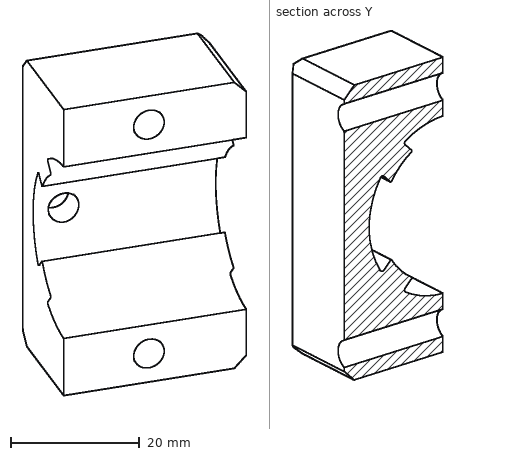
import cadquery as cq
import math

height = 50.0
depth = 30.0
width = 19.5
chamfer = 2.0

bore_radius = 15.0
bore_axis_gap = 0.5
bore_x = width + bore_axis_gap

key_tip_radius = 12.5
key_width = 6.0
key_angles = (135, 225)
key_tip_fillet = 0.2
key_root_fillet = 0.4

hole_diameter = 5.0
outer_hole_z = 20.0
outer_hole_y = (depth - chamfer) / 2
middle_hole_y = 5.0
hole_positions = [
    (outer_hole_y, outer_hole_z),
    (outer_hole_y, -outer_hole_z),
    (middle_hole_y, 0),
]


def cylinder_along_y(radius):
    """Cylinder on the bore axis, running through the full depth."""
    return cq.Workplane("XZ").center(bore_x, 0).circle(radius).extrude(-depth)


def make_block():
    """Block chamfered around the -X, +Y, top and bottom faces."""
    block = cq.Workplane("XY").box(width, depth, height, centered=(False, False, True))
    along_z = block.edges("<X and >Y").chamfer(chamfer)
    along_x = block.edges("(>Y and >Z) or (>Y and <Z)").chamfer(chamfer)
    along_y = block.edges("(<X and >Z) or (<X and <Z)").chamfer(chamfer)
    return along_y.intersect(along_z).intersect(along_x)


def make_key(angle):
    """Straight-sided bar reaching outward from the bore axis at the given angle."""
    return (
        cq.Workplane("XZ")
        .center(bore_x, 0)
        .transformed(rotate=(0, 0, angle))
        .center(bore_radius, 0)
        .rect(2 * bore_radius, key_width)
        .extrude(-depth)
    )


def make_bore():
    """Bore with the keys left standing, their corners rounded."""
    key_ring = cylinder_along_y(bore_radius).cut(cylinder_along_y(key_tip_radius))
    bore = cylinder_along_y(bore_radius)
    for angle in key_angles:
        bore = bore.cut(key_ring.intersect(make_key(angle)))
    middle_radius = (bore_radius + key_tip_radius) / 2

    def axis_distance(edge):
        return math.hypot(edge.Center().x - bore_x, edge.Center().z)

    def is_tip(edge):
        return axis_distance(edge) < middle_radius

    def is_root(edge):
        return axis_distance(edge) > middle_radius and edge.Center().x < bore_x

    bore = bore.edges("|Y").filter(is_tip).fillet(key_tip_fillet)
    return bore.edges("|Y").filter(is_root).fillet(key_root_fillet)


def make_holes():
    """Round holes right through the block along X."""
    return cq.Workplane("YZ").pushPoints(hole_positions).circle(hole_diameter / 2).extrude(width)


result = make_block().cut(make_bore()).cut(make_holes())